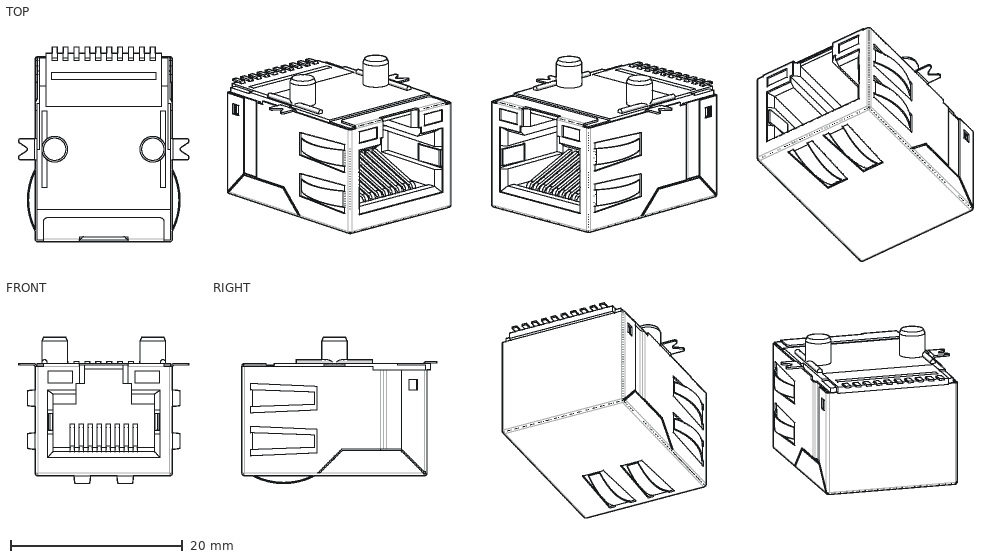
import cadquery as cq


shield_width = 16.0
shield_length = 21.6
sheet = 0.2
bend_radius = 0.33
half_width = shield_width / 2
inner_half_width = half_width - sheet

top_z = 13.1
recess_z = top_z - sheet
side_wall_top = 12.75
rear_wall_top = 12.35
rear_wall_start = 15.3

flap_half_width = 7.04
flap_end = 2.83
flap_corner = 0.5
flap_notch_depth = 0.6

mouth_half_width = 6.55
mouth_bottom = 2.14
mouth_top = 10.0
throat_half_width = 5.9
throat_bottom = 2.84
throat_top = 9.52
lead_in_end = 0.75
cavity_top = 8.4
cavity_end = 13.0
latch_half_width = 3.21
latch_top = 10.78
channel_half_width = 2.83
channel_throat = 2.24
channel_roof = 12.43
floor_step_start = 1.75
floor_step = 0.2
ledge_top = 3.33
ledge_depth = 1.5
shoulder_start = 9.0

slot_bottom, slot_top = 4.9, 7.7
slot_half_width = 6.9
slot_end = 10.0
tongue_bottom, tongue_top = 5.3, 7.3
tongue_half_width = 6.24
tongue_crest = 5.95
tongue_bend, tongue_end = 3.5, 3.9
tongue_flare = 0.22

led_inner, led_outer = 3.66, 6.49
led_bottom, led_top = 10.85, 12.24

spring_start, cutout_end, spring_end = 1.0, 8.77, 8.5
cutout_root_width, cutout_tip_width = 3.43, 2.75
spring_root_width, spring_tip_width = 1.97, 1.44
spring_height = 0.9
spring_sheet = 0.15
spring_foot = 0.25
side_spring_z = (4.06, 9.06)
bottom_spring_x = (-2.5, 2.5)

tab_tip = 9.925
tab_width = 2.46
tab_corner = 0.22
tab_bend = 8.15
tab_root_z = 12.3
tab_notch_mouth = 0.8
tab_notch_bottom = 8.7
tab_notch_radius = 0.26

joggle_depth = 0.3
joggle_start, joggle_floor, joggle_end = 16.15, 16.85, 18.6
seam_top = 3.13
seam_front = 11.65
seam_gap = 0.16
seam_depth = 0.1
window_start, window_end = 19.5, 20.5
window_bottom, window_top = 10.0, 11.22
latch_wedge_end = 20.35
relief_y, relief_z, relief_radius = 21.28, 0.36, 0.12

housing_end = shield_length - sheet
housing_rear_half_width = 7.5
housing_rear_start = 10.77
recess_end = 3.76
rear_step_start = 18.15
rear_edge_chamfer = 0.5
post_x = 11.43 / 2
post_y = 10.8
post_diameter = 3.0
post_top = 16.16
post_chamfer_height, post_chamfer_width = 0.45, 0.2
rib_x = 6.9
rib_radius = 0.3
rib_length = 8.9
rib_axis_z = 13.25

contact_count, contact_pitch, contact_width = 8, 1.05, 0.5
contact_front, contact_back = 1.85, 8.9
contact_knee_z, contact_tip_z = 3.48, 6.02
contact_thickness = 0.35
contact_root_z = throat_bottom - 2 * floor_step

insert_half_width = 6.73
insert_start, insert_end = 15.77, 22.0
bar_half_length = 6.1
bar_start, bar_end = 18.95, 19.75
bar_depth = 0.4
pin_count, pin_pitch, pin_width = 10, 1.27, 0.6
pin_tip, pin_bend, pin_root = 22.72, 21.4, 21.13
pin_bottom, pin_top = 13.13, 13.33
pin_root_depth = 0.3


def block(x0, x1, y0, y1, z0, z1):
    """Box between two opposite corners."""
    return cq.Workplane("XY").box(x1 - x0, y1 - y0, z1 - z0, centered=False).translate((x0, y0, z0))


def centred_block(half_x, y0, y1, z0, z1):
    """Box symmetric about X = 0."""
    return block(-half_x, half_x, y0, y1, z0, z1)


def both_sides(shape):
    """The shape at +X together with its mirror image at -X."""
    return shape.add(shape.mirror("YZ"))


def row(count, pitch):
    """Centred positions of a row of equal spacing."""
    return [(i - (count - 1) / 2) * pitch for i in range(count)]


def shield_shell():
    outer = centred_block(half_width, 0, shield_length, 0, top_z)
    outer = outer.edges("|Z or <Z or (<Y and >Z)").fillet(bend_radius)
    shell = outer.cut(centred_block(inner_half_width, sheet, housing_end, sheet, recess_z))
    flap = centred_block(flap_half_width, 0, flap_end, 0, top_z)
    flap = flap.edges("|Z and >Y").fillet(flap_corner)
    shell = shell.cut(centred_block(half_width, 0, shield_length, side_wall_top, top_z).cut(flap))
    return shell.cut(centred_block(half_width, rear_wall_start, shield_length, rear_wall_top, top_z))


def front_openings():
    mouth = centred_block(mouth_half_width, 0, sheet, mouth_bottom, mouth_top)
    latch = centred_block(latch_half_width, 0, sheet, mouth_bottom, latch_top)
    channel = centred_block(channel_half_width, 0, flap_notch_depth, latch_top, top_z)
    leds = both_sides(block(led_inner, led_outer, 0, sheet, led_bottom, led_top))
    return mouth.union(latch).union(channel).union(leds)


def tapered_plan(root_width, tip_width, end):
    """Prism in the wall frame (X outward, Z across the finger) that narrows towards +Y."""
    return (
        cq.Workplane("YZ", origin=(-sheet, 0, 0))
        .polyline([
            (spring_start, -root_width / 2),
            (spring_start, root_width / 2),
            (end, tip_width / 2),
            (end, -tip_width / 2),
        ])
        .close()
        .extrude(sheet + 2 * spring_height)
    )


def spring_finger():
    """Bowed finger in the wall frame, with X = 0 on the wall's outer face."""
    bow_start = spring_start + spring_foot
    bow_middle = (bow_start + spring_end) / 2
    bowed = (
        cq.Workplane("XY")
        .moveTo(0, spring_start)
        .lineTo(0, bow_start)
        .threePointArc((spring_height, bow_middle), (0, spring_end))
        .lineTo(-spring_sheet, spring_end)
        .threePointArc((spring_height - spring_sheet, bow_middle), (-spring_sheet, bow_start))
        .lineTo(-spring_sheet, spring_start)
        .close()
        .extrude(spring_root_width / 2, both=True)
    )
    return bowed.intersect(tapered_plan(spring_root_width, spring_tip_width, spring_end))


def on_spring_walls(shape):
    """Copies of a wall-frame shape at every spring position on the two sides and the bottom."""
    placed = cq.Workplane("XY")
    for z in side_spring_z:
        placed = placed.add(both_sides(shape.translate((half_width, 0, z))))
    for x in bottom_spring_x:
        placed = placed.add(shape.rotate((0, 0, 0), (0, 1, 0), 90).translate((x, 0, 0)))
    return placed


def board_tab():
    """Forked tab on the +X side, bent outward from the top of the side wall."""
    strip = (
        cq.Workplane("XZ", origin=(0, post_y, 0))
        .polyline([
            (inner_half_width, tab_root_z),
            (half_width, tab_root_z),
            (half_width, side_wall_top),
            (tab_bend, recess_z),
            (tab_tip, recess_z),
            (tab_tip, top_z),
            (tab_bend - sheet / 2, top_z),
            (inner_half_width, side_wall_top + sheet / 2),
        ])
        .close()
        .extrude(tab_width / 2, both=True)
    )
    notch = (
        cq.Workplane("XY", origin=(0, post_y, recess_z))
        .polyline([
            (tab_tip, tab_notch_mouth),
            (tab_notch_bottom, 0),
            (tab_tip, -tab_notch_mouth),
        ])
        .close()
        .extrude(sheet)
        .edges("|Z and <X").fillet(tab_notch_radius)
    )
    return strip.cut(notch).edges("|Z and >X").fillet(tab_corner)


def jack_tongue():
    """Tongue on the +X side, folded back from the mouth edge, leaning inward and flared at its end."""
    outer_radius = mouth_half_width - tongue_half_width
    inner_radius = outer_radius - sheet
    back_face = tongue_half_width + sheet
    return (
        cq.Workplane("XY", origin=(0, 0, tongue_bottom))
        .moveTo(mouth_half_width, 0)
        .radiusArc((tongue_half_width, outer_radius), -outer_radius)
        .lineTo(tongue_crest, tongue_bend)
        .lineTo(tongue_crest + tongue_flare, tongue_end)
        .lineTo(tongue_crest + sheet + tongue_flare, tongue_end)
        .lineTo(tongue_crest + sheet, tongue_bend)
        .lineTo(back_face, outer_radius)
        .radiusArc((mouth_half_width, outer_radius - inner_radius), inner_radius)
        .close()
        .extrude(tongue_top - tongue_bottom)
    )


def joggle_pocket():
    """Pocket in the outside of the +X wall with an S-shaped front ramp."""
    floor_x = half_width - joggle_depth
    ramp_middle = ((half_width + floor_x) / 2, (joggle_start + joggle_floor) / 2)
    return (
        cq.Workplane("XY", origin=(0, 0, seam_top))
        .moveTo(half_width, joggle_end)
        .lineTo(floor_x, joggle_end)
        .lineTo(floor_x, joggle_floor)
        .tangentArcPoint(ramp_middle, relative=False)
        .tangentArcPoint((half_width, joggle_start), relative=False)
        .close()
        .extrude(rear_wall_top - seam_top)
    )


def joggle_backing():
    """Inner layer of the +X wall, from the joggle to the rear wall."""
    return block(
        housing_rear_half_width, inner_half_width, joggle_start, housing_end, sheet, rear_wall_top
    )


def layer_gap():
    """Slit between the inner and outer layers of the +X wall behind the joggle."""
    inner_layer_face = half_width - joggle_depth
    return block(inner_layer_face, inner_half_width, joggle_end, housing_end, sheet, rear_wall_top)


def lap_seam():
    """Groove along the 45 degree edges and top of the bottom plate's fold-up on the +X wall."""
    plate = (
        cq.Workplane("YZ", origin=(half_width - seam_depth, 0, 0))
        .polyline([
            (seam_front - seam_top, 0),
            (seam_front, seam_top),
            (joggle_end, seam_top),
            (joggle_end + seam_top, 0),
        ])
        .close()
        .extrude(seam_depth)
    )
    fold = plate.faces(">X").wires().toPending().offset2D(-seam_gap).extrude(-seam_depth, combine=False)
    below_fold = block(0, half_width, 0, shield_length, 0, bend_radius)
    return plate.cut(fold).cut(below_fold)


def latch_window():
    return block(housing_rear_half_width, half_width, window_start, window_end, window_bottom, window_top)


def corner_relief():
    """Small hole through both side walls at the lower rear corner."""
    return (
        cq.Workplane("YZ", origin=(0, relief_y, relief_z))
        .circle(relief_radius)
        .extrude(half_width, both=True)
    )


def make_shield():
    shield = shield_shell().cut(front_openings())
    cutout = tapered_plan(cutout_root_width, cutout_tip_width, cutout_end)
    shield = shield.cut(on_spring_walls(cutout))
    shield = shield.union(on_spring_walls(spring_finger()))
    shield = shield.union(both_sides(joggle_backing())).union(both_sides(board_tab()))
    shield = shield.union(both_sides(jack_tongue()))
    for pocket in (joggle_pocket(), layer_gap(), lap_seam(), latch_window()):
        shield = shield.cut(both_sides(pocket))
    return shield.cut(corner_relief())


def housing_block():
    body = centred_block(inner_half_width, sheet, housing_rear_start, sheet, top_z)
    rear = centred_block(housing_rear_half_width, housing_rear_start, housing_end, sheet, top_z)
    body = body.union(rear.edges(">Y and <Z").chamfer(rear_edge_chamfer))
    body = body.cut(centred_block(inner_half_width, sheet, recess_end, recess_z, top_z))
    body = body.cut(centred_block(inner_half_width, rear_step_start, housing_end, recess_z, top_z))
    return body.cut(insert_block())


def mouth_lead_in():
    """Tapered entry of the jack."""
    return (
        cq.Workplane("XZ", origin=(0, sheet, (mouth_bottom + mouth_top) / 2))
        .rect(2 * mouth_half_width, mouth_top - mouth_bottom)
        .workplane(offset=sheet - lead_in_end)
        .center(0, (throat_bottom + throat_top - mouth_bottom - mouth_top) / 2)
        .rect(2 * throat_half_width, throat_top - throat_bottom)
        .loft(ruled=True)
    )


def latch_channel():
    """Channel for the plug latch, open upward at its front and chamfered on both sides."""
    lead_in_length = channel_half_width - channel_throat
    lead_in = (
        cq.Workplane("XY", origin=(0, 0, latch_top))
        .polyline([
            (-channel_half_width, sheet),
            (channel_half_width, sheet),
            (channel_throat, sheet + lead_in_length),
            (-channel_throat, sheet + lead_in_length),
        ])
        .close()
        .extrude(top_z - latch_top)
    )
    channel = centred_block(channel_throat, sheet, cavity_end, cavity_top, channel_roof)
    return lead_in.union(channel)


def side_slots():
    """Slots in both jack side walls that take the shield tongues."""
    return centred_block(slot_half_width, sheet, slot_end, slot_bottom, slot_top)


def jack_cavity():
    throat = centred_block(throat_half_width, lead_in_end, cavity_end, throat_bottom, cavity_top)
    upper = centred_block(throat_half_width, lead_in_end, shoulder_start, cavity_top, throat_top)
    latch = centred_block(latch_half_width, sheet, cavity_end, cavity_top, latch_top)
    low_floor = throat_bottom - floor_step
    sunk_floor = centred_block(throat_half_width, floor_step_start, cavity_end, low_floor, throat_bottom)
    cavity = mouth_lead_in().union(throat).union(upper).union(latch).union(sunk_floor)
    cavity = cavity.union(latch_channel()).union(side_slots())
    return cavity.cut(centred_block(half_width, cavity_end - ledge_depth, cavity_end, 0, ledge_top))


def contact(x):
    """Spring contact rising from the jack floor towards the rear."""
    knee_radius = contact_knee_z - throat_bottom
    inner_front = contact_front + contact_thickness
    return (
        cq.Workplane("YZ", origin=(x, 0, 0))
        .moveTo(contact_front, contact_root_z)
        .lineTo(contact_front, throat_bottom)
        .tangentArcPoint((knee_radius, knee_radius))
        .lineTo(contact_back, contact_tip_z)
        .lineTo(contact_back, contact_tip_z - contact_thickness)
        .lineTo(contact_front + knee_radius, contact_knee_z - contact_thickness)
        .lineTo(inner_front, throat_bottom)
        .lineTo(inner_front, contact_root_z)
        .close()
        .extrude(contact_width / 2, both=True)
    )


def locating_post(x):
    height = post_top - recess_z
    post = cq.Workplane("XY", origin=(x, post_y, recess_z)).circle(post_diameter / 2).extrude(height)
    return post.faces(">Z").chamfer(post_chamfer_height, post_chamfer_width)


def standoff_rib(x):
    """Round-topped rib along Y on the housing top."""
    return (
        cq.Workplane("XZ", origin=(x, post_y, 0))
        .moveTo(-rib_radius, recess_z)
        .lineTo(-rib_radius, rib_axis_z)
        .threePointArc((0, rib_axis_z + rib_radius), (rib_radius, rib_axis_z))
        .lineTo(rib_radius, recess_z)
        .close()
        .extrude(rib_length / 2, both=True)
    )


def latch_wedge():
    """Ramp on the +X side that fills the shield's latch window."""
    return (
        cq.Workplane("XY", origin=(0, 0, window_bottom))
        .polyline([
            (housing_rear_half_width, window_start),
            (inner_half_width, window_start),
            (housing_rear_half_width, latch_wedge_end),
        ])
        .close()
        .extrude(window_top - window_bottom)
    )


def make_housing():
    housing = housing_block().cut(jack_cavity())
    for x in row(contact_count, contact_pitch):
        housing = housing.union(contact(x))
    for side in (-1, 1):
        housing = housing.union(locating_post(side * post_x))
        housing = housing.union(standoff_rib(side * rib_x))
    return housing.union(both_sides(latch_wedge()))


def insert_block():
    return centred_block(insert_half_width, insert_start, insert_end, rear_wall_top, top_z)


def solder_pin(x):
    """Flat pin that leaves the insert's top and bends to the rear."""
    return (
        cq.Workplane("YZ", origin=(x, 0, 0))
        .polyline([
            (pin_tip, pin_bottom),
            (pin_tip, pin_top),
            (pin_bend, pin_top),
            (pin_root, top_z),
            (pin_root, top_z - pin_root_depth),
            (pin_bend, top_z - pin_root_depth),
            (pin_bend, pin_bottom),
        ])
        .close()
        .extrude(pin_width / 2, both=True)
    )


def make_insert():
    insert = insert_block().cut(make_bar())
    for x in row(pin_count, pin_pitch):
        insert = insert.union(solder_pin(x))
    return insert


def make_bar():
    return centred_block(bar_half_length, bar_start, bar_end, top_z - bar_depth, top_z)


shield = make_shield()
housing = make_housing()
insert = make_insert()
bar = make_bar()

bodies = [body.solids().val() for body in (shield, housing, insert, bar)]
result = cq.Compound.makeCompound(bodies)